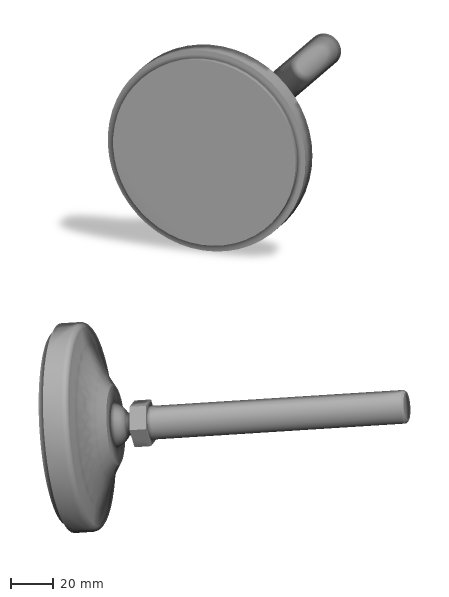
import cadquery as cq
import math

total_length = 169.0

pad_radius = 92.5 / 2
pad_height = 3.0

base_radius = 100.0 / 2
rim_fillet = 3.0
shoulder_height = 15.2

flare_mid_radius = 28.7
flare_mid_height = 20.8
flat_top_radius = 19.1
flat_top_height = 26.5

ball_radius = 11.3
ball_center_height = 22.8

neck_radius = 11.0 / 2
nut_bottom = 35.7
nut_thickness = 8.1
nut_across_flats = 20.0

stud_radius = 16.0 / 2
tip_chamfer = 1.0


def ball_radius_at(height):
    """Radius of the ball's cross-section at a height."""
    return math.sqrt(ball_radius**2 - (height - ball_center_height) ** 2)


def make_round_body():
    """Pad, rimmed base, flared top, ball, neck and stud as one revolved outline."""
    fillet_offset = rim_fillet * math.sqrt(0.5)
    fillet_center_radius = base_radius - rim_fillet
    fillet_center_height = shoulder_height - rim_fillet

    ball_top_height = ball_center_height + math.sqrt(ball_radius**2 - neck_radius**2)
    ball_mid_height = (flat_top_height + ball_top_height) / 2

    outline = (
        cq.Workplane("XY")
        .lineTo(pad_radius, 0)
        .lineTo(pad_radius, pad_height)
        .lineTo(base_radius, pad_height)
        .lineTo(base_radius, fillet_center_height)
        .threePointArc(
            (fillet_center_radius + fillet_offset, fillet_center_height + fillet_offset),
            (fillet_center_radius, shoulder_height),
        )
        .threePointArc(
            (flare_mid_radius, flare_mid_height),
            (flat_top_radius, flat_top_height),
        )
        .lineTo(ball_radius_at(flat_top_height), flat_top_height)
        .threePointArc(
            (ball_radius_at(ball_mid_height), ball_mid_height),
            (neck_radius, ball_top_height),
        )
        .lineTo(neck_radius, nut_bottom)
        .lineTo(stud_radius, nut_bottom)
        .lineTo(stud_radius, total_length - tip_chamfer)
        .lineTo(stud_radius - tip_chamfer, total_length)
        .lineTo(0, total_length)
        .close()
    )
    return outline.revolve(360, (0, 0, 0), (0, 1, 0))


def make_nut():
    """Hexagon with flats facing +X and -X and corners toward +Z and -Z."""
    across_corners = nut_across_flats / math.cos(math.pi / 6)
    hexagon = cq.Workplane("XZ", origin=(0, nut_bottom, 0)).polygon(6, across_corners)
    return hexagon.extrude(-nut_thickness).rotate((0, 0, 0), (0, 1, 0), 30)


result = make_round_body().union(make_nut())